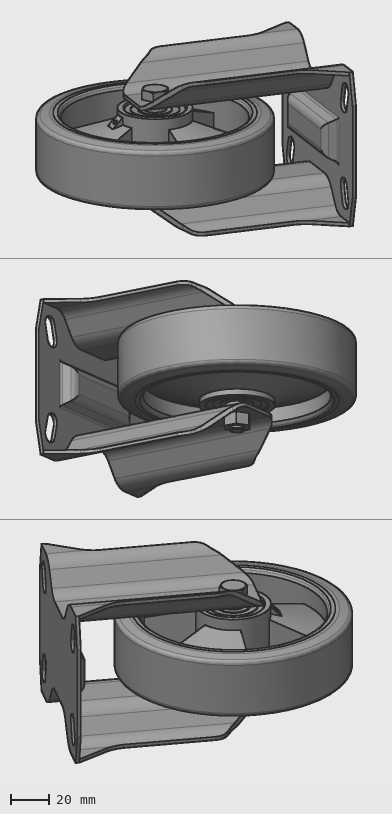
import cadquery as cq
import math


sheet = 2.0
plate_face_y = 93.52
plate_half_x = 50.0
plate_side_half_z = 25.3
flange_half_x = 45.5
flange_top_z = 42.51
web_top_z = 25.6
web_half_x = 9.8
bend_inner_radius = 10.0
bend_outer_radius = bend_inner_radius + sheet
bend_angle = math.radians(53)

leg_half_x = 32.5
flare_angle = math.radians(32)
flare_radius = 19.5
shoulder_y = 12.0
shoulder_radius = 10.0
waist_x = 26.8
tip_y = -13.0
tip_slope = math.radians(60)
tip_radius = 8.0

slot_x = 38.5
slot_z = 26.4
slot_width = 8.7
slot_spacing = 8.1
slot_tilt = 15

boss_half_x = 29.8
boss_half_z = 12.2
boss_height = 7.3
boss_wall_angle = math.radians(28)
boss_edge_radius = 5.0
boss_root_radius = 1.5

tyre_radius = 62.48
tyre_half_width = 17.5
tyre_seat_radius = 53.5
tyre_face_radius = 55.5
tyre_bevel_end_radius = 61.07
tyre_bevel_drop = 1.2
tyre_edge_radius = 2.5

rim_inner_radius = 49.3
rim_lip_radius = 51.2
rim_step_radius = 50.2
rim_lip_chamfer = 1.0
rim_step_depth = 1.5
hub_radius = 19.73
hub_half_length = 20.2
high_web_z = 4.8
high_web_slope = 0.31
low_web_z = -3.9
low_web_slope = -0.34
web_thickness = 3.1
sector_angle = 60

nipple_width = 6.7
nipple_tip_y = -25.3
nipple_top_z = 17.8
nipple_base_z = 10.9
nipple_hole_diameter = 2.5
nipple_hole_depth = 1.5

bearing_diameter = 32.0
bearing_seat_chamfer = 0.8
bearing_recess = 0.8
bearing_width = 9.4
shield_outer_diameter = 25.9
shield_inner_diameter = 18.0
shield_depth = 0.5

tube_diameter = 12.0
bolt_diameter = 8.0
bolt_tip_chamfer = 0.6
bolt_tip_z = -34.0
hex_width = 13.0
head_height = 5.3
head_chamfer = 0.6
nut_height = 6.5
web_inner_z = web_top_z - sheet


def revolve_about_z(profile):
    """Turn an (r, z) profile drawn on the XZ plane into a solid about the Z axis."""
    return profile.close().revolve(360, (0, 0, 0), (0, 1, 0))


def ring(outer_diameter, inner_diameter, bottom_z, height):
    return (
        cq.Workplane("XY", origin=(0, 0, bottom_z))
        .circle(outer_diameter / 2)
        .circle(inner_diameter / 2)
        .extrude(height)
    )




def bend_points(offset):
    """Points of one half of the flange section, `offset` below its outer face."""
    lower_radius = bend_inner_radius + offset
    upper_radius = bend_outer_radius - offset
    lower_centre_z = web_top_z + bend_inner_radius
    upper_centre_z = flange_top_z - bend_outer_radius
    run_z = (upper_centre_z + bend_outer_radius * math.cos(bend_angle)) - (
        lower_centre_z - bend_inner_radius * math.cos(bend_angle)
    )
    upper_x = (
        web_half_x
        + (bend_inner_radius + bend_outer_radius) * math.sin(bend_angle)
        + run_z / math.tan(bend_angle)
    )

    def on_lower(angle):
        return (
            web_half_x + lower_radius * math.sin(angle),
            lower_centre_z - lower_radius * math.cos(angle),
        )

    def on_upper(angle):
        return (
            upper_x - upper_radius * math.sin(angle),
            upper_centre_z + upper_radius * math.cos(angle),
        )

    return [
        on_lower(0),
        on_lower(bend_angle / 2),
        on_lower(bend_angle),
        on_upper(bend_angle),
        on_upper(bend_angle / 2),
        on_upper(0),
        (flange_half_x, flange_top_z - offset),
    ]


def trace_bends(profile, points):
    """Draw arc, straight, arc, straight from the first of seven section points."""
    return (
        profile.threePointArc(points[1], points[2])
        .lineTo(*points[3])
        .threePointArc(points[4], points[5])
        .lineTo(*points[6])
    )


def make_plate():
    bends = bend_points(0)
    edge = cq.Workplane("XZ", origin=(0, plate_face_y, 0)).moveTo(0, 0).lineTo(0, web_top_z).lineTo(*bends[0])
    quarter = (
        trace_bends(edge, bends)
        .lineTo(plate_half_x, plate_side_half_z)
        .lineTo(plate_half_x, 0)
        .close()
        .extrude(sheet)
    )
    half = quarter.union(quarter.mirror("YZ"))
    return half.union(half.mirror("XY"))


def flange_section():
    """Both halves of the bent section, extruded along the full length of the flange."""
    outer = bend_points(0)
    inner = bend_points(sheet)
    start = cq.Workplane("XZ", origin=(0, plate_face_y, 0)).moveTo(0, web_top_z).lineTo(*outer[0])
    profile = trace_bends(start, outer).lineTo(*inner[6]).lineTo(*inner[5])
    half = (
        profile.threePointArc(inner[4], inner[3])
        .lineTo(*inner[2])
        .threePointArc(inner[1], inner[0])
        .lineTo(0, web_inner_z)
        .close()
        .extrude(plate_face_y - tip_y)
    )
    return half.union(half.mirror("YZ"))


def flange_outline():
    """Flared, tapered outline that trims the bent section."""
    flare_start_y = plate_face_y - sheet
    flare_end_y = flare_start_y - (flange_half_x - leg_half_x) / math.tan(flare_angle)
    waist_y = shoulder_y - (leg_half_x - waist_x)
    tip_x = waist_x - (waist_y - tip_y) / math.tan(tip_slope)
    half = (
        cq.Workplane("XY")
        .polyline(
            [
                (0, plate_face_y),
                (flange_half_x, plate_face_y),
                (flange_half_x, flare_start_y),
                (leg_half_x, flare_end_y),
                (leg_half_x, shoulder_y),
                (waist_x, waist_y),
                (tip_x, tip_y),
                (0, tip_y),
            ]
        )
        .close()
        .extrude(flange_top_z)
    )
    corners = [
        (leg_half_x, flare_end_y, flare_radius),
        (leg_half_x, shoulder_y, shoulder_radius),
        (waist_x, waist_y, shoulder_radius),
        (tip_x, tip_y, tip_radius),
    ]
    for x, y, radius in corners:
        corner = cq.selectors.NearestToPointSelector((x, y, flange_top_z / 2))
        half = half.edges("|Z").edges(corner).fillet(radius)
    return half.union(half.mirror("YZ"))


def boss_ridge(half_width, half_length):
    """Trapezoidal ridge along Z with rounded shoulders and roots, on a slab as thick as the plate."""
    taper = boss_height * math.tan(boss_wall_angle)
    seat_y = plate_face_y - sheet
    top_y = seat_y - boss_height
    slab_half_width = half_width + boss_root_radius
    ridge = (
        cq.Workplane("XY")
        .polyline(
            [
                (-slab_half_width, plate_face_y),
                (-slab_half_width, seat_y),
                (-half_width, seat_y),
                (-half_width + taper, top_y),
                (half_width - taper, top_y),
                (half_width, seat_y),
                (slab_half_width, seat_y),
                (slab_half_width, plate_face_y),
            ]
        )
        .close()
        .extrude(half_length + boss_root_radius, both=True)
    )
    ridge = ridge.faces("<Y").edges("|Z").fillet(boss_edge_radius)
    for side in (-1, 1):
        root = cq.selectors.NearestToPointSelector((side * half_width, seat_y, 0))
        ridge = ridge.edges("|Z").edges(root).fillet(boss_root_radius)
    return ridge


def make_boss():
    """Two crossing ridges keep only their common part, so that the corners are mitred."""
    along_z = boss_ridge(boss_half_x, boss_half_z)
    along_x = boss_ridge(boss_half_z, boss_half_x).rotate((0, 0, 0), (0, 1, 0), 90)
    return along_z.intersect(along_x)


def make_slots():
    slots = cq.Workplane("XY")
    for side_x in (-1, 1):
        for side_z in (-1, 1):
            slot = (
                cq.Workplane("XZ", origin=(side_x * slot_x, plate_face_y, side_z * slot_z))
                .slot2D(slot_spacing + slot_width, slot_width, 90 - side_x * side_z * slot_tilt)
                .extrude(sheet)
            )
            slots = slots.add(slot)
    return slots.combine()


def make_bracket():
    flange = flange_section().intersect(flange_outline())
    bracket = make_plate().union(flange).union(flange.mirror("XY"))
    bolt_hole = cq.Workplane("XY").circle(bolt_diameter / 2).extrude(flange_top_z, both=True)
    return bracket.union(make_boss()).cut(make_slots()).cut(bolt_hole)




def make_tyre():
    shoulder_z = tyre_half_width - tyre_bevel_drop
    bevel_angle = math.atan2(tyre_bevel_drop, tyre_bevel_end_radius - tyre_face_radius)
    corner_z = shoulder_z - (tyre_radius - tyre_bevel_end_radius) * math.tan(bevel_angle)
    profile = cq.Workplane("XZ").polyline(
        [
            (tyre_seat_radius, -tyre_half_width),
            (tyre_face_radius, -tyre_half_width),
            (tyre_radius, -corner_z),
            (tyre_radius, corner_z),
            (tyre_face_radius, tyre_half_width),
            (tyre_seat_radius, tyre_half_width),
        ]
    )
    outer_corners = cq.selectors.RadiusNthSelector(-1)
    return revolve_about_z(profile).edges("%CIRCLE").edges(outer_corners).fillet(tyre_edge_radius)




def cone_z(base_z, slope, radius):
    """Height of a cone that rises by `slope` towards the hub from `base_z` at the rim."""
    return base_z + slope * (rim_inner_radius - radius)


def web_sector(start_angle, top_z, top_slope):
    """Sector of the web, rooted halfway into the walls of the hub and the barrel."""
    inner_radius = (bearing_diameter / 2 + hub_radius) / 2
    outer_radius = (rim_inner_radius + tyre_seat_radius) / 2
    under_z = low_web_z - web_thickness
    sector = (
        cq.Workplane("XZ")
        .polyline(
            [
                (inner_radius, cone_z(under_z, low_web_slope, inner_radius)),
                (outer_radius, cone_z(under_z, low_web_slope, outer_radius)),
                (outer_radius, cone_z(top_z, top_slope, outer_radius)),
                (inner_radius, cone_z(top_z, top_slope, inner_radius)),
            ]
        )
        .close()
        .revolve(sector_angle, (0, 0, 0), (0, 1, 0))
    )
    return sector.rotate((0, 0, 0), (0, 0, 1), start_angle)


def make_web():
    """Web whose upper face alternates between high and low sectors."""
    web = cq.Workplane("XY")
    for start_angle in range(0, 360, 2 * sector_angle):
        web = web.union(web_sector(start_angle, high_web_z, high_web_slope))
        web = web.union(web_sector(start_angle + sector_angle, low_web_z, low_web_slope))
    return web


def make_barrel():
    step_z = tyre_half_width - rim_lip_chamfer
    floor_z = step_z - rim_step_depth
    return revolve_about_z(
        cq.Workplane("XZ").polyline(
            [
                (tyre_seat_radius, -tyre_half_width),
                (tyre_seat_radius, tyre_half_width),
                (rim_lip_radius, tyre_half_width),
                (rim_step_radius, step_z),
                (rim_inner_radius, floor_z),
                (rim_inner_radius, -floor_z),
                (rim_step_radius, -step_z),
                (rim_lip_radius, -tyre_half_width),
            ]
        )
    )


def make_hub():
    hub = ring(2 * hub_radius, bearing_diameter, -hub_half_length, 2 * hub_half_length)
    return hub.faces("<Z or >Z").edges(cq.selectors.RadiusNthSelector(0)).chamfer(bearing_seat_chamfer)


def make_nipple():
    """Wedge with a 45 degree face, standing on the hub and the web."""
    root_y = -(hub_radius + bearing_diameter / 2) / 2
    face_y = -hub_radius
    drop = face_y - nipple_tip_y
    wedge = (
        cq.Workplane("YZ")
        .polyline(
            [
                (root_y, nipple_base_z),
                (root_y, nipple_top_z),
                (face_y, nipple_top_z),
                (nipple_tip_y, nipple_top_z - drop),
                (nipple_tip_y, nipple_base_z),
            ]
        )
        .close()
        .extrude(nipple_width / 2, both=True)
    )
    face_middle = cq.Vector(0, face_y - drop / 2, nipple_top_z - drop / 2)
    hole_plane = cq.Plane(origin=face_middle, xDir=(1, 0, 0), normal=(0, -1, 1))
    hole = cq.Workplane(hole_plane).circle(nipple_hole_diameter / 2).extrude(-nipple_hole_depth)
    return wedge.cut(hole)


def make_rim():
    return make_barrel().union(make_web()).union(make_hub()).union(make_nipple())




def make_bearing(side):
    """Bearing at one end of the hub (side is 1 or -1), with a sunk shield on its outer face."""
    outer_z = hub_half_length - bearing_recess
    bearing = ring(bearing_diameter, tube_diameter, outer_z - bearing_width, bearing_width)
    shield = ring(shield_outer_diameter, shield_inner_diameter, outer_z - shield_depth, shield_depth)
    bearing = bearing.cut(shield)
    return bearing if side > 0 else bearing.mirror("XY")


def make_tube():
    return ring(tube_diameter, bolt_diameter, -web_inner_z, 2 * web_inner_z)


def hex_prism(bottom_z, height):
    """Hexagon with two flats facing along X."""
    corner_diameter = hex_width / math.cos(math.pi / 6)
    return (
        cq.Workplane("XY", origin=(0, 0, bottom_z))
        .transformed(rotate=(0, 0, 30))
        .polygon(6, corner_diameter)
        .extrude(height)
    )


def make_bolt():
    shank = (
        cq.Workplane("XY", origin=(0, 0, bolt_tip_z))
        .circle(bolt_diameter / 2)
        .extrude(web_top_z - bolt_tip_z)
        .faces("<Z")
        .chamfer(bolt_tip_chamfer)
    )
    corner_radius = hex_width / 2 / math.cos(math.pi / 6)
    rounding = (
        cq.Workplane("XY", origin=(0, 0, web_top_z))
        .circle(corner_radius)
        .extrude(head_height)
        .faces(">Z")
        .chamfer(head_chamfer, corner_radius - hex_width / 2)
    )
    return hex_prism(web_top_z, head_height).intersect(rounding).union(shank)


def make_nut():
    nut = hex_prism(-web_top_z - nut_height, nut_height)
    return nut.faces("<Z").workplane().hole(bolt_diameter)


bracket = make_bracket()
tyre = make_tyre()
rim = make_rim()
bearings = [make_bearing(side) for side in (1, -1)]
tube = make_tube()
bolt = make_bolt()
nut = make_nut()

result = cq.Compound.makeCompound(
    [bracket.val(), tyre.val(), rim.val()]
    + [bearing.val() for bearing in bearings]
    + [tube.val(), bolt.val(), nut.val()]
)